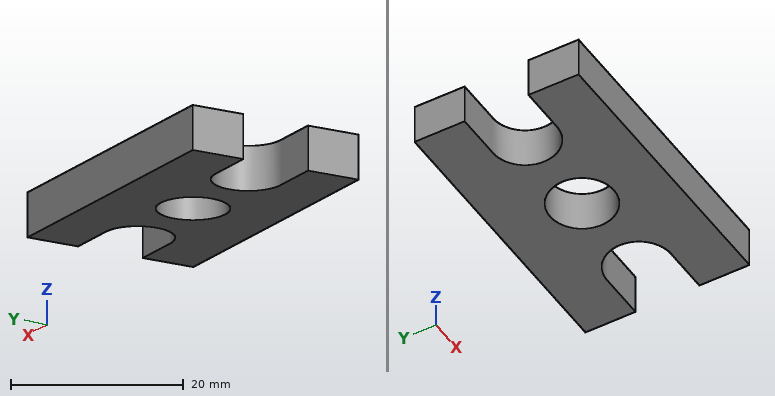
import cadquery as cq

length = 38.1
width = 22.2
thickness = 5.5

hole_diameter = 8.65
slot_depth = 10.65


def make_plate():
    """Plate centred on the origin, with the round hole through its middle."""
    return cq.Workplane("XY").box(length, width, thickness).faces(">Z").workplane().hole(hole_diameter)


def cut_end_slots(plate):
    """Slots centred on the plate ends, so that only their inner halves cut the plate."""
    return (
        plate.faces(">Z")
        .workplane(origin=(0, 0, 0))
        .pushPoints([(-length / 2, 0), (length / 2, 0)])
        .slot2D(2 * slot_depth, hole_diameter)
        .cutThruAll()
    )


result = cut_end_slots(make_plate())